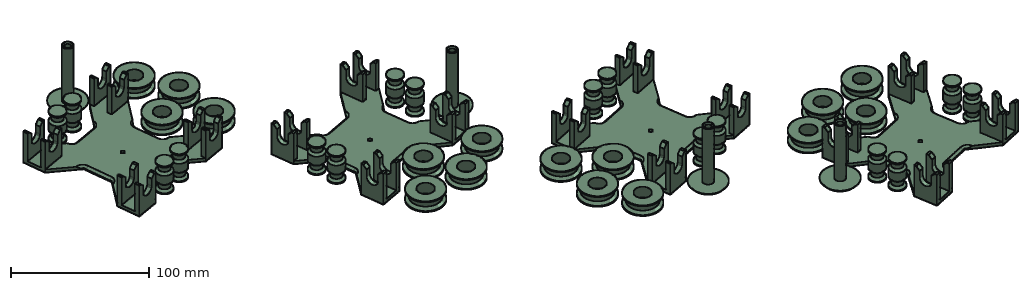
import cadquery as cq

flange_height = 3.0
rim_height = 1.0
large_flange_radius = 15.0

base_half_x = 52.6
base_half_y = 50.1
arm_size = 20.0
notch_x = 34.8
notch_y = 30.1
centre_hole_diameter = 3.0

relief_low_radius = 3.9
relief_depth = flange_height - rim_height
relief_half_length_x = 10.7
relief_half_length_y = 10.0

post_thickness = 4.0
post_top = 28.5
fork_slot_width = 10.0
fork_slot_floor = 13.9
fork_lead_in = 3.0

spool_groove_radius = 12.5
spool_bore_radius = 6.7
spool_height = 10.0
spool_centres = [(-41.9, 69.7), (-8.8, 79.7), (29.4, 71.1), (-0.1, 47.7)]

pin_radius = 6.7
pin_neck_radius = 4.6
pin_height = 26.0
pin_neck_top = 7.0
pin_columns_x = (-49.1, 47.7)
pin_rows_y = (-13.2, 4.5)

spindle_centre = (-68.0, 24.2)
spindle_flange_low_radius = 12.5
spindle_radius = 4.3
spindle_height = 54.5
spindle_bore_radius = 2.5
spindle_top_chamfer = 0.5
spindle_countersink = 1.2


def revolve_profile(points, centre):
    """Turn a profile of (radius, height) points around a vertical axis at centre."""
    profile = cq.Workplane("XZ").polyline(points).close()
    return profile.revolve(360, (0, 0, 0), (0, 1, 0)).translate((*centre, 0))


def make_relief(half_length, axis_distance, turn):
    """Tapered slot cutter, widening upward, along one notch floor."""
    length = 2 * (half_length + relief_low_radius)
    cutter = cq.Workplane("XY", origin=(0, axis_distance, rim_height))
    cutter = cutter.slot2D(length, 2 * relief_low_radius).extrude(relief_depth, taper=-45)
    return cutter.rotate((0, 0, 0), (0, 0, 1), turn)


def make_plate():
    arm_inner_x = base_half_x - arm_size
    arm_inner_y = base_half_y - arm_size
    back_floor_half_length = arm_inner_x - (base_half_y - notch_y)
    side_floor_half_length = arm_inner_y - (base_half_x - notch_x)
    quarter = [
        (notch_x, side_floor_half_length),
        (base_half_x, arm_inner_y),
        (base_half_x, base_half_y),
        (arm_inner_x, base_half_y),
        (back_floor_half_length, notch_y),
    ]
    left_half = [(-x, y) for x, y in reversed(quarter)]
    back = quarter + left_half
    front = [(-x, -y) for x, y in back]
    plate = cq.Workplane("XY").polyline(back + front).close().extrude(flange_height)

    for turn in (0, 180):
        plate = plate.cut(make_relief(relief_half_length_x, notch_y + relief_low_radius, turn))
    for turn in (90, 270):
        plate = plate.cut(make_relief(relief_half_length_y, notch_x + relief_low_radius, turn))
    return plate.faces("<Z").workplane(origin=(0, 0, 0)).hole(centre_hole_diameter)


def make_post(x_start, y_centre):
    """Fork post with a round-bottomed slot that is open at the top."""
    half_width = arm_size / 2
    half_slot = fork_slot_width / 2
    slot_arc_height = fork_slot_floor + half_slot
    lead_in_height = post_top - fork_lead_in
    mouth = half_slot + fork_lead_in
    outline = (
        cq.Workplane("YZ", origin=(x_start, y_centre, 0))
        .moveTo(-half_width, flange_height)
        .lineTo(half_width, flange_height)
        .lineTo(half_width, post_top)
        .lineTo(mouth, post_top)
        .lineTo(half_slot, lead_in_height)
        .lineTo(half_slot, slot_arc_height)
        .threePointArc((0, fork_slot_floor), (-half_slot, slot_arc_height))
        .lineTo(-half_slot, lead_in_height)
        .lineTo(-mouth, post_top)
        .lineTo(-half_width, post_top)
        .close()
    )
    return outline.extrude(post_thickness)


def make_base():
    base = make_plate()
    post_starts_x = (
        -base_half_x,
        -base_half_x + arm_size - post_thickness,
        base_half_x - arm_size,
        base_half_x - post_thickness,
    )
    post_centre_y = base_half_y - arm_size / 2
    for x_start in post_starts_x:
        for y_centre in (-post_centre_y, post_centre_y):
            base = base.union(make_post(x_start, y_centre))
    return base


def make_spool(centre):
    """Ring with a sloped-sided groove between two flanges."""
    profile = [
        (spool_bore_radius, 0),
        (large_flange_radius, 0),
        (large_flange_radius, rim_height),
        (spool_groove_radius, flange_height),
        (spool_groove_radius, spool_height - flange_height),
        (large_flange_radius, spool_height - rim_height),
        (large_flange_radius, spool_height),
        (spool_bore_radius, spool_height),
    ]
    return revolve_profile(profile, centre)


def make_pin(centre):
    """Solid pin with two necks, the same from both ends."""
    barrel_start = pin_neck_top + flange_height - rim_height
    lower_half = [
        (0, 0),
        (pin_radius, 0),
        (pin_radius, rim_height),
        (pin_neck_radius, flange_height),
        (pin_neck_radius, pin_neck_top),
        (pin_radius, barrel_start),
    ]
    upper_half = [(radius, pin_height - z) for radius, z in reversed(lower_half)]
    return revolve_profile(lower_half + upper_half, centre)


def make_spindle(centre):
    """Bored post on a flange that narrows downward."""
    profile = [
        (spindle_bore_radius, 0),
        (spindle_flange_low_radius, 0),
        (large_flange_radius, flange_height),
        (spindle_radius, flange_height),
        (spindle_radius, spindle_height - spindle_top_chamfer),
        (spindle_radius - spindle_top_chamfer, spindle_height),
        (spindle_bore_radius + spindle_countersink, spindle_height),
        (spindle_bore_radius, spindle_height - spindle_countersink),
    ]
    return revolve_profile(profile, centre)


base = make_base()
spools = [make_spool(centre) for centre in spool_centres]
pins = [make_pin((x, y)) for x in pin_columns_x for y in pin_rows_y]
spindle = make_spindle(spindle_centre)

result = cq.Compound.makeCompound(
    [
        base.solids().val(),
        *[spool.val() for spool in spools],
        *[pin.val() for pin in pins],
        spindle.val(),
    ]
)